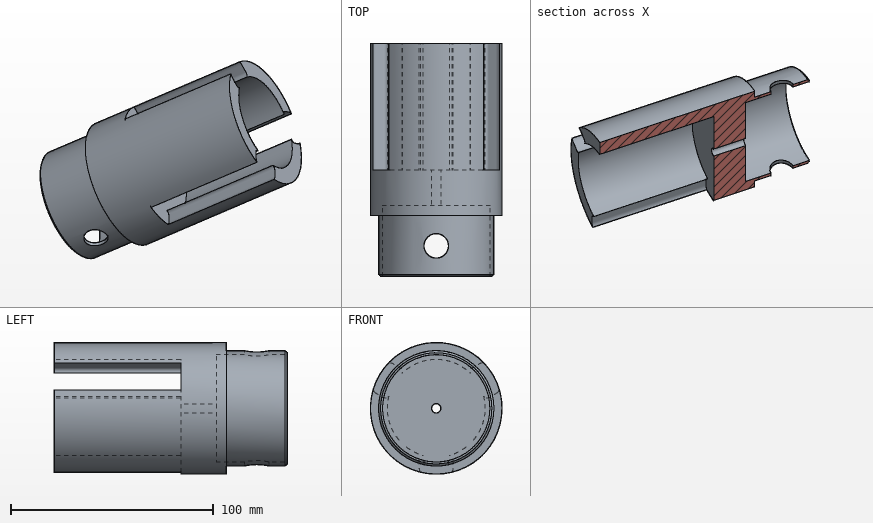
import cadquery as cq
import math

total_length = 115.0
body_diameter = 65.0
neck_diameter = 56.9
neck_length = 30.0
neck_chamfer = 1.0

socket_diameter = 52.9
socket_depth = 35.0
slot_length = 62.5
chamber_diameter = 48.3
chamber_start = total_length - slot_length
vent_diameter = 4.5

pin_hole_diameter = 12.0
pin_hole_y = 15.1

slot_count = 3
first_slot_angle = 30.0
slot_half_width = 8.4
slot_floor_radius = 23.2
inner_corner_radius = 2.0
outer_corner_radius = 4.0
lip_start_radius = 29.3


def y_cylinder(diameter, start, end):
    """Cylinder on the part axis between two Y positions."""
    sketch = cq.Workplane("XZ", origin=(0, start, 0)).circle(diameter / 2)
    return sketch.extrude(start - end)


def body_blank():
    """Stepped solid with a chamfered neck."""
    neck = y_cylinder(neck_diameter, 0, neck_length).faces("<Y").chamfer(neck_chamfer)
    return neck.union(y_cylinder(body_diameter, neck_length, total_length))


def lip_half_width(radial):
    """Half width of the slot on the outer corner arc, at a given distance along the slot."""
    drop = math.sqrt(outer_corner_radius ** 2 - (radial - lip_start_radius) ** 2)
    return slot_half_width - outer_corner_radius + drop


def slot_cutter():
    """Slot along X whose side walls curve inward near the floor and near the outer lips."""
    outer_half_width = lip_half_width(body_diameter / 2)
    diagonal = math.sqrt(0.5)
    floor_half_width = slot_half_width - inner_corner_radius
    wall_start = slot_floor_radius + inner_corner_radius
    corner_mid = (
        wall_start - inner_corner_radius * diagonal,
        floor_half_width + inner_corner_radius * diagonal,
    )
    lip_mid_x = (lip_start_radius + body_diameter / 2) / 2
    lip_mid = (lip_mid_x, lip_half_width(lip_mid_x))
    half = (
        cq.Workplane("XZ", origin=(0, total_length, 0))
        .moveTo(slot_floor_radius, 0)
        .lineTo(slot_floor_radius, floor_half_width)
        .threePointArc(corner_mid, (wall_start, slot_half_width))
        .lineTo(lip_start_radius, slot_half_width)
        .threePointArc(lip_mid, (body_diameter / 2, outer_half_width))
        .lineTo(body_diameter / 2, 0)
        .close()
        .extrude(slot_length)
    )
    return half.union(half.mirror("XY"))


def pin_hole():
    """Cross hole through both walls of the neck."""
    sketch = cq.Workplane("XY", origin=(0, pin_hole_y, 0)).circle(pin_hole_diameter / 2)
    return sketch.extrude(body_diameter, both=True)


result = body_blank()
result = result.cut(y_cylinder(socket_diameter, 0, socket_depth))
result = result.cut(y_cylinder(chamber_diameter, chamber_start, total_length))
result = result.cut(y_cylinder(vent_diameter, 0, total_length))
result = result.cut(pin_hole())

for index in range(slot_count):
    angle = first_slot_angle + index * 360 / slot_count
    result = result.cut(slot_cutter().rotate((0, 0, 0), (0, -1, 0), angle))